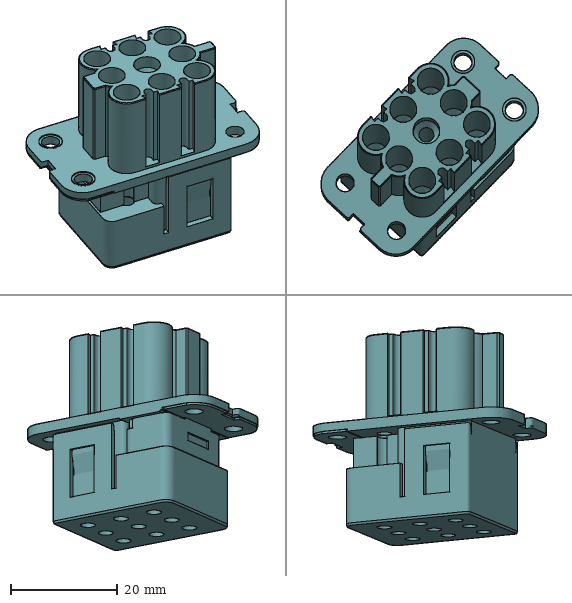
import cadquery as cq

total_height = 36.5
ledge_z = 11.0
pad_z = 17.75
flange_bottom_z = 18.05
flange_upper_z = 18.45
flange_top_z = 20.05

flange_width = 22.3
flange_length = 41.5
flange_corner_radius = 4.55
lower_layer_setback = 0.15
notch_width = 2.95
notch_depth = 1.4
notch_lip_radius = 0.5
notch_bevel = 0.4
lower_notch_width = 4.35
screw_x = 6.7
screw_y = 16.1
screw_hole_diameter = 3.4
screw_seat_diameter = 4.45
screw_seat_depth = 0.2

contact_pitch_x = 6.0
contact_pitch_y = 7.45
tower_center_y = 0.9
tower_lobe_radius = 3.5
bore_diameter = 5.02
through_diameter = 2.8
center_bore_depth = 2.5
outer_bore_depth = total_height - flange_top_z
tower_edge_chamfer = 0.15
front_key_width = 4.65
front_key_y = -11.6
rear_key_width = 2.4
rear_key_y = 15.02
key_edge_chamfer = 0.3
groove_floor_z = 20.6
groove_mouth_width = 2.82
groove_inner_width = 3.3
groove_mouth_depth = 1.15
groove_slot_width = 1.58
groove_total_depth = 2.65

base_half_width = 10.65
base_front_y = -13.05
base_rear_y = 13.4
base_front_radius = 2.0
base_rear_radius = 0.55
base_edge_rise = 0.45
base_edge_inset = 0.15

core_half_width = 9.55
core_front_y = -2.4
core_corner_radius = 1.05

wing_front_y = -0.05
wing_top_z = 17.5
wing_tip_thickness = 0.75
wing_gap_bottom_z = 15.5
relief_width = 1.0
relief_bottom_z = 4.52
window_front_y = 3.9
window_rear_y = 9.38
window_top_z = 13.95
latch_face_z = 12.85
latch_bottom_z = 9.17
latch_side_gap = 0.2
latch_height = 0.7

block_left_x = -10.2
block_right_x = 6.97
block_front_y = -12.6
block_front_radius = 1.45
block_rear_radius = 1.75
block_gap = 0.12
block_step_x = 4.4
block_step_z = 17.47
block_window_half_width = 3.5
block_window_bottom_z = 13.78
block_window_height = 1.6
block_window_depth = 0.4
corner_notch_front_y = -4.52
corner_notch_bottom_z = 15.95
corner_notch_right_x = -8.3
corner_notch_depth = 0.3
corner_notch_rear_depth = 0.75

pad_inner_x = -4.45
pad_rear_y = -2.25
pad_front_y = -11.25
pad_bevel_rear = 0.25
slit_front_y = -12.15
slit_rear_y = -11.85


def box(x0, x1, y0, y1, z0, z1):
    """Box between the given limits."""
    return cq.Workplane("XY").box(x1 - x0, y1 - y0, z1 - z0, centered=False).translate((x0, y0, z0))


def cylinder(x, y, diameter, z0, z1):
    """Upright cylinder between two levels."""
    return cq.Workplane("XY", origin=(x, y, z0)).circle(diameter / 2).extrude(z1 - z0)


def mirrored_in_x(shape):
    """The shape together with its mirror image across the YZ plane."""
    return shape.union(shape.mirror("YZ"))


def make_flange():
    """Rounded plate with end notches whose lower layer is set back around the front end."""
    half_width = flange_width / 2
    half_length = flange_length / 2
    upper = box(-half_width, half_width, -half_length, half_length, flange_upper_z, flange_top_z)
    upper = upper.edges("|Z").fillet(flange_corner_radius)
    lower_front_y = -half_length + lower_layer_setback
    lower = box(-half_width, half_width, lower_front_y, half_length, flange_bottom_z, flange_upper_z)
    lower = lower.edges("|Z").fillet(flange_corner_radius)
    for side in (-1, 1):
        x0, x1 = sorted((side * half_width, side * (half_width - lower_layer_setback)))
        lower = lower.cut(box(x0, x1, -half_length, slit_front_y, flange_bottom_z, flange_upper_z))

    half_notch = notch_width / 2
    upper_middle_z = (flange_upper_z + flange_top_z) / 2
    for end in (-1, 1):
        outer_y = end * half_length
        inner_y = outer_y - end * notch_depth
        y0, y1 = sorted((inner_y, outer_y))
        upper = upper.cut(box(-half_notch, half_notch, y0, y1, flange_upper_z, flange_top_z))
        layer_half_notch = lower_notch_width / 2 if end < 0 else half_notch
        lower = lower.cut(box(-layer_half_notch, layer_half_notch, y0, y1, flange_bottom_z, flange_upper_z))
        for side in (-1, 1):
            lip = cq.selectors.NearestToPointSelector((side * half_notch, outer_y, upper_middle_z))
            upper = upper.edges("|Z").edges(lip).fillet(notch_lip_radius)

    flare = (
        cq.Workplane("XY", origin=(0, -half_length, flange_upper_z))
        .rect(notch_width + 2 * notch_bevel, 2 * (notch_depth + notch_bevel))
        .extrude(notch_bevel, taper=45)
    )
    return upper.cut(flare).union(lower)


def make_pad():
    """Thicker patch under the flange on the -X side, bevelled at both ends."""
    outline = [
        (pad_rear_y + pad_bevel_rear, flange_bottom_z),
        (pad_rear_y, pad_z),
        (pad_front_y, pad_z),
        (slit_rear_y, flange_upper_z),
        (pad_rear_y, flange_upper_z),
    ]
    left_x = -flange_width / 2
    profile = cq.Workplane("YZ", origin=(left_x, 0, 0)).polyline(outline).close()
    return profile.extrude(pad_inner_x - left_x)


def make_tower():
    """Lobed block around the contacts with a polarising key at each end."""
    z0 = flange_bottom_z
    half_width = contact_pitch_x + tower_lobe_radius
    rear_row_y = tower_center_y + contact_pitch_y
    front_row_y = tower_center_y - contact_pitch_y
    tower = box(-half_width, half_width, front_row_y, rear_row_y, z0, total_height)
    for column in (-1, 0, 1):
        for row_y in (front_row_y, rear_row_y):
            lobe_x = column * contact_pitch_x
            tower = tower.union(cylinder(lobe_x, row_y, 2 * tower_lobe_radius, z0, total_height))

    front_half = front_key_width / 2
    front_key = box(-front_half, front_half, front_key_y, front_row_y, z0, total_height)
    front_key = front_key.edges("|Z and <Y").chamfer(key_edge_chamfer)
    rear_half = rear_key_width / 2
    rear_key = box(-rear_half, rear_half, rear_row_y, rear_key_y, z0, total_height)
    rear_key = rear_key.edges("|Z and >Y").chamfer(key_edge_chamfer)
    tower = tower.union(front_key).union(rear_key)
    tower = tower.faces(">Z").edges().chamfer(tower_edge_chamfer)

    for offset in (-0.5, 0.5):
        tower = tower.cut(make_side_grooves(tower_center_y + offset * contact_pitch_y))
    return tower


def make_side_grooves(y):
    """Pair of coding grooves: a dovetail mouth leading into a round-ended slot."""
    face_x = -(contact_pitch_x + tower_lobe_radius)
    neck_x = face_x + groove_mouth_depth
    end_center_x = face_x + groove_total_depth - groove_slot_width / 2
    height = total_height - groove_floor_z
    mouth = (
        cq.Workplane("XY", origin=(0, y, groove_floor_z))
        .moveTo(face_x, -groove_mouth_width / 2)
        .lineTo(neck_x, -groove_inner_width / 2)
        .lineTo(neck_x, groove_inner_width / 2)
        .lineTo(face_x, groove_mouth_width / 2)
        .close()
        .extrude(height)
    )
    half_slot = groove_slot_width / 2
    slot = box(face_x, end_center_x, y - half_slot, y + half_slot, groove_floor_z, total_height)
    slot_end = cylinder(end_center_x, y, groove_slot_width, groove_floor_z, total_height)
    return mirrored_in_x(mouth.union(slot).union(slot_end))


def make_base():
    """Lower housing with its bottom edge eased."""
    base = box(-base_half_width, base_half_width, base_front_y, base_rear_y, 0, ledge_z)
    base = base.edges("|Z and <Y").fillet(base_front_radius)
    base = base.edges("|Z and >Y").fillet(base_rear_radius)
    return base.faces("<Z").edges().chamfer(base_edge_rise, base_edge_inset)


def make_core():
    """Housing between the ledge and the flange, behind the front block."""
    core = box(-core_half_width, core_half_width, core_front_y, base_rear_y, ledge_z, flange_bottom_z)
    return core.edges("|Z and <Y").fillet(core_corner_radius)


def make_wings():
    """Side wings that taper away from the core toward their free top edges."""
    outline = [
        (-base_half_width, ledge_z),
        (-base_half_width, wing_top_z),
        (-base_half_width + wing_tip_thickness, wing_top_z),
        (-core_half_width, wing_gap_bottom_z),
        (-core_half_width, ledge_z),
    ]
    wing = cq.Workplane("XZ", origin=(0, wing_front_y, 0)).polyline(outline).close()
    wing = wing.extrude(wing_front_y - base_rear_y)
    wing = wing.edges("|Z and >Y and <X").fillet(base_rear_radius)
    return mirrored_in_x(wing)


def make_wing_openings():
    """Relief slots in front of the wings and the windows through them."""
    relief_front_y = wing_front_y - relief_width
    relief = box(
        -base_half_width, -core_half_width, relief_front_y, wing_front_y, relief_bottom_z, ledge_z
    )
    window = box(
        -base_half_width, -core_half_width, window_front_y, window_rear_y, relief_bottom_z, window_top_z
    )
    return mirrored_in_x(relief.union(window))


def make_latches():
    """Wedges behind the windows: upright at the top, sloping back to the core below."""
    latch_x = -core_half_width - latch_height
    outline = [
        (-core_half_width, latch_bottom_z),
        (latch_x, latch_face_z),
        (latch_x, window_top_z),
        (-core_half_width, window_top_z),
    ]
    front_y = window_front_y + latch_side_gap
    rear_y = window_rear_y - latch_side_gap
    latch = cq.Workplane("XZ", origin=(0, front_y, 0)).polyline(outline).close().extrude(front_y - rear_y)
    return mirrored_in_x(latch)


def block_outline(inset, rear_inset, z0, z1):
    """Front block outline, drawn in by insets, between two levels."""
    left_x = block_left_x + inset
    block = box(left_x, block_right_x, block_front_y + inset, core_front_y - rear_inset, z0, z1)
    block = block.edges("|Z and <X and <Y").fillet(block_front_radius - inset)
    return block.edges("|Z and <X and >Y").fillet(block_rear_radius - rear_inset)


def make_front_block():
    """Block in front of the core, hanging from the flange just clear of the ledge."""
    block = block_outline(0, 0, ledge_z + block_gap, flange_bottom_z)
    step = box(block_step_x, block_right_x, block_front_y, core_front_y, block_step_z, flange_bottom_z)
    window_top = block_window_bottom_z + block_window_height
    window_rear_limit = block_front_y + block_window_depth
    window = box(
        -block_window_half_width, block_window_half_width,
        block_front_y, window_rear_limit,
        block_window_bottom_z, window_top,
    )
    notch = box(
        block_left_x, corner_notch_right_x,
        corner_notch_front_y, core_front_y,
        corner_notch_bottom_z, pad_z,
    )
    notch_core = block_outline(corner_notch_depth, corner_notch_rear_depth, corner_notch_bottom_z, pad_z)
    notch = notch.cut(notch_core)
    pad_clearance = box(block_left_x, pad_inner_x, block_front_y, core_front_y, pad_z, flange_bottom_z)
    return block.cut(step).cut(window).cut(notch).cut(pad_clearance)


def make_slit():
    """Narrow slit across the underside of the flange, just behind the block's front face."""
    half_width = flange_width / 2
    return box(-half_width, half_width, slit_front_y, slit_rear_y, pad_z, flange_upper_z)


def make_screw_holes():
    """Four fixing holes; the front pair has shallow seats."""
    seat_z = flange_top_z - screw_seat_depth
    holes = cylinder(screw_x, -screw_y, screw_seat_diameter, seat_z, flange_top_z)
    for y in (-screw_y, screw_y):
        holes = holes.union(cylinder(screw_x, y, screw_hole_diameter, pad_z, flange_top_z))
    return mirrored_in_x(holes)


def make_contact_bore(x, y, depth):
    """Stepped bore through the part with a 45 degree cone between its two diameters."""
    bore_radius = bore_diameter / 2
    through_radius = through_diameter / 2
    cone_top_z = total_height - depth
    cone_bottom_z = cone_top_z - (bore_radius - through_radius)
    outline = [
        (0, 0),
        (through_radius, 0),
        (through_radius, cone_bottom_z),
        (bore_radius, cone_top_z),
        (bore_radius, total_height),
        (0, total_height),
    ]
    bore = cq.Workplane("XZ").polyline(outline).close().revolve(360, (0, 0, 0), (0, 1, 0))
    return bore.translate((x, y, 0))


part = make_base().union(make_core()).union(make_wings())
part = part.cut(make_wing_openings()).union(make_latches())
part = part.union(make_front_block()).union(make_pad())
part = part.union(make_flange()).union(make_tower())
part = part.cut(make_slit()).cut(make_screw_holes())
for column in (-1, 0, 1):
    for row in (-1, 0, 1):
        is_center = column == 0 and row == 0
        bore_depth = center_bore_depth if is_center else outer_bore_depth
        bore_x = column * contact_pitch_x
        bore_y = tower_center_y + row * contact_pitch_y
        part = part.cut(make_contact_bore(bore_x, bore_y, bore_depth))

result = part